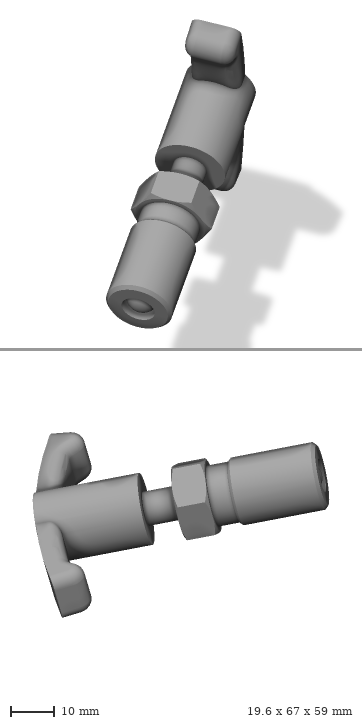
import cadquery as cq
import math

TOTAL_LENGTH = 67.0

SLEEVE_DIAMETER = 16.0
SLEEVE_LENGTH = 21.0
SLEEVE_CHAMFER = 0.8
NECK_DIAMETER = SLEEVE_DIAMETER - 2 * SLEEVE_CHAMFER
NECK_LENGTH = 5.0
HEX_ACROSS_FLATS = 17.0
HEX_THICKNESS = 8.05
HEX_CHAMFER_ANGLE = 30.0
HEX_START = SLEEVE_LENGTH + NECK_LENGTH
SLEEVE_END = HEX_START + HEX_THICKNESS

ROD_DIAMETER = 8.05
HUB_DIAMETER = 17.0
HUB_LENGTH = 25.0
HUB_START = TOTAL_LENGTH - HUB_LENGTH

GRIP_WIDTH = 12.0
GRIP_THICKNESS = 5.5
GRIP_BACK_RADIUS = 110.0
GRIP_FRONT_RADIUS = GRIP_BACK_RADIUS - GRIP_THICKNESS
GRIP_ARC_CENTER = TOTAL_LENGTH - GRIP_BACK_RADIUS
GRIP_HALF_SPAN = 29.515
LIP_CORNER_Y = 50.9
LIP_CORNER_Z = 27.35
LIP_ROOT_Z = 20.9
LIP_RADIUS = 3.5
LIP_ROOT_RADIUS = 2.0
GRIP_EDGE_RADIUS = 2.7


def cylinder(diameter, start, end):
    """Cylinder on the Y axis from Y = start to Y = end."""
    return cq.Workplane("XZ", origin=(0, start, 0)).circle(diameter / 2).extrude(start - end)


def arc_point(radius, z):
    """Point (Y, Z) on a grip arc at height z."""
    return (GRIP_ARC_CENTER + math.sqrt(radius**2 - z**2), z)


def make_hexagon():
    """Hexagon with flats facing +Z and -Z and its corners chamfered at both ends."""
    corner_diameter = HEX_ACROSS_FLATS / math.cos(math.radians(30))
    prism = (
        cq.Workplane("XZ", origin=(0, HEX_START, 0))
        .polygon(6, corner_diameter)
        .extrude(-HEX_THICKNESS)
    )
    chamfer_width = (corner_diameter - HEX_ACROSS_FLATS) / 2
    chamfer_depth = chamfer_width * math.tan(math.radians(HEX_CHAMFER_ANGLE))
    envelope = (
        cylinder(corner_diameter, HEX_START, SLEEVE_END)
        .edges("%CIRCLE")
        .chamfer(chamfer_depth, chamfer_width)
    )
    return prism.intersect(envelope)


def make_sleeve():
    """Sleeve, neck and hexagon, bored through for the plunger rod."""
    barrel = cylinder(SLEEVE_DIAMETER, 0, SLEEVE_LENGTH).edges("%CIRCLE").chamfer(SLEEVE_CHAMFER)
    neck = cylinder(NECK_DIAMETER, SLEEVE_LENGTH, HEX_START)
    bore = cylinder(ROD_DIAMETER, 0, SLEEVE_END)
    return barrel.union(neck).union(make_hexagon()).cut(bore)


def make_grip_arm():
    """Upper half of the grip, ending in a rounded lip that points to -Y."""
    half_span = GRIP_HALF_SPAN
    arm = (
        cq.Workplane("YZ")
        .moveTo(*arc_point(GRIP_BACK_RADIUS, 0))
        .threePointArc(
            arc_point(GRIP_BACK_RADIUS, half_span / 2),
            arc_point(GRIP_BACK_RADIUS, half_span),
        )
        .lineTo(LIP_CORNER_Y, LIP_CORNER_Z)
        .lineTo(*arc_point(GRIP_FRONT_RADIUS, LIP_ROOT_Z))
        .threePointArc(
            arc_point(GRIP_FRONT_RADIUS, LIP_ROOT_Z / 2),
            arc_point(GRIP_FRONT_RADIUS, 0),
        )
        .close()
        .extrude(GRIP_WIDTH / 2, both=True)
    )

    lip_corner = cq.selectors.NearestToPointSelector((0, LIP_CORNER_Y, LIP_CORNER_Z))
    lip_root = cq.selectors.NearestToPointSelector((0, *arc_point(GRIP_FRONT_RADIUS, LIP_ROOT_Z)))
    arm = arm.edges("|X").edges(lip_corner).fillet(LIP_RADIUS)
    arm = arm.edges("|X").edges(lip_root).fillet(LIP_ROOT_RADIUS)

    front_y, front_z = arc_point(GRIP_FRONT_RADIUS, LIP_ROOT_Z / 2)
    for side_x in (-GRIP_WIDTH / 2, GRIP_WIDTH / 2):
        front_edge = cq.selectors.NearestToPointSelector((side_x, front_y, front_z))
        arm = arm.edges(front_edge).fillet(GRIP_EDGE_RADIUS)
    return arm


def make_plunger():
    """Handle hub with both grip arms and a rod ending in a hemisphere at the sleeve mouth."""
    rod_radius = ROD_DIAMETER / 2
    dome = cq.Workplane("XY", origin=(0, rod_radius, 0)).sphere(rod_radius)
    rod = cylinder(ROD_DIAMETER, rod_radius, HUB_START).union(dome)
    plunger = cylinder(HUB_DIAMETER, HUB_START, TOTAL_LENGTH).union(rod)
    upper_arm = make_grip_arm()
    lower_arm = upper_arm.mirror("XY")
    return plunger.union(upper_arm).union(lower_arm)


sleeve = make_sleeve()
plunger = make_plunger()
result = cq.Compound.makeCompound([sleeve.val(), plunger.val()])